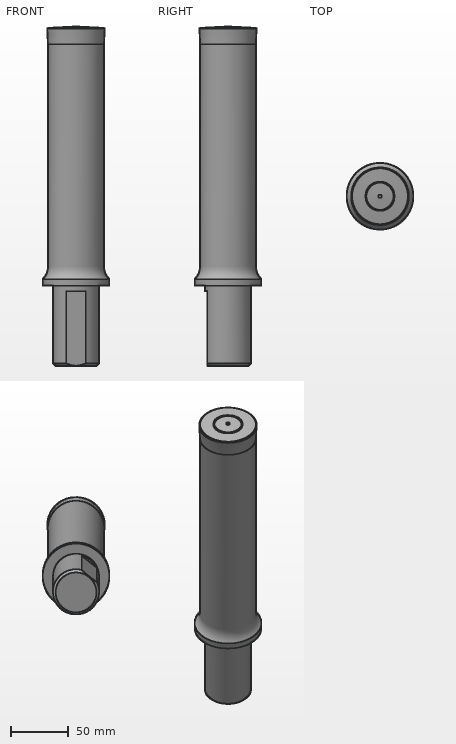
import cadquery as cq
import math

total_height = 295.0
flange_bottom_z = 70.0
flange_top_z = 75.5
flare_top_z = 86.0
cap_bottom_z = 279.5

shank_radius = 40.0 / 2
shank_end_radius = 17.7
shank_chamfer_height = 2.5
flange_radius = 58.0 / 2
tube_radius = 49.0 / 2

flat_distance = 18.15
flat_top_z = 65.2

cap_top_radius = 25.0
cap_edge_chamfer = 1.0
cap_rim_z = 293.8
ring_groove_outer_radius = 12.7
ring_groove_width = 1.0
ring_groove_depth = 0.5
center_hole_radius = 1.5
center_hole_depth = 0.5


def flare_midpoint():
    """Middle of the concave flare arc, which leaves the tube tangentially."""
    rise = flare_top_z - flange_top_z
    spread = flange_radius - tube_radius
    arc_radius = (rise**2 + spread**2) / (2 * spread)
    half_angle = math.asin(rise / arc_radius) / 2
    return (
        tube_radius + arc_radius * (1 - math.cos(half_angle)),
        flare_top_z - arc_radius * math.sin(half_angle),
    )


def make_post():
    """Turned post with a chamfered shank, a flange and a concave flare."""
    post = (
        cq.Workplane("XZ")
        .moveTo(0, 0)
        .lineTo(shank_end_radius, 0)
        .lineTo(shank_radius, shank_chamfer_height)
        .lineTo(shank_radius, flange_bottom_z)
        .lineTo(flange_radius, flange_bottom_z)
        .lineTo(flange_radius, flange_top_z)
        .threePointArc(flare_midpoint(), (tube_radius, flare_top_z))
        .lineTo(tube_radius, cap_bottom_z)
        .lineTo(0, cap_bottom_z)
        .close()
        .revolve(360, (0, 0, 0), (0, 1, 0))
    )
    flat_cutter = cq.Workplane("XY").box(
        2 * shank_radius, shank_radius, flat_top_z, centered=(True, False, False)
    ).translate((0, -flat_distance - shank_radius, 0))
    return post.cut(flat_cutter)


def make_cap():
    """End cap with a ring groove and a small blind hole in its conical top."""
    cap = (
        cq.Workplane("XZ")
        .moveTo(0, cap_bottom_z)
        .lineTo(tube_radius, cap_bottom_z)
        .lineTo(cap_top_radius, cap_rim_z - cap_edge_chamfer)
        .lineTo(cap_top_radius - cap_edge_chamfer, cap_rim_z)
        .lineTo(center_hole_radius, total_height)
        .lineTo(0, total_height)
        .close()
        .revolve(360, (0, 0, 0), (0, 1, 0))
    )
    cone_slope = (total_height - cap_rim_z) / (cap_top_radius - cap_edge_chamfer - center_hole_radius)
    groove_top_drop = cone_slope * (ring_groove_outer_radius - center_hole_radius)
    groove_bottom_z = total_height - groove_top_drop - ring_groove_depth
    groove = (
        cq.Workplane("XY", origin=(0, 0, groove_bottom_z))
        .circle(ring_groove_outer_radius)
        .circle(ring_groove_outer_radius - ring_groove_width)
        .extrude(total_height - groove_bottom_z)
    )
    center_hole = (
        cq.Workplane("XY", origin=(0, 0, total_height - center_hole_depth))
        .circle(center_hole_radius)
        .extrude(center_hole_depth)
    )
    return cap.cut(groove).cut(center_hole)


post = make_post()
cap = make_cap()

result = cq.Compound.makeCompound([post.val(), cap.val()])